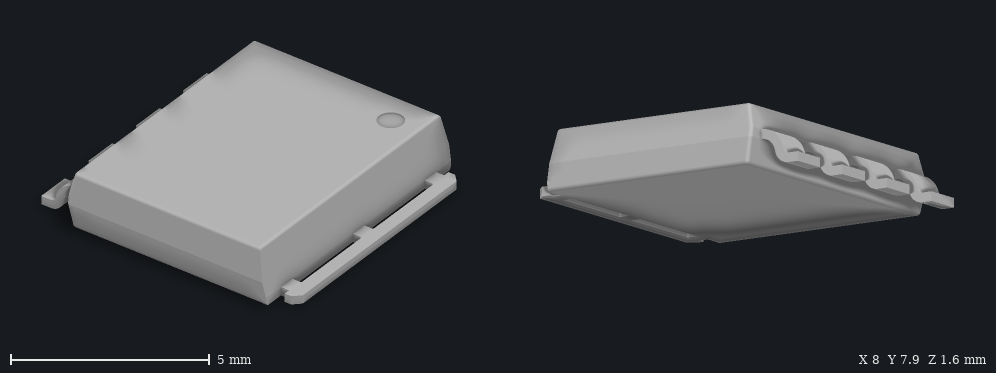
import cadquery as cq
import math

TOTAL_LENGTH = 8.0
BODY_WIDTH = 7.9
BODY_HEIGHT = 1.6
METAL_THICKNESS = 0.25

SEAM_HEIGHT = 0.7
BODY_LEFT = 1.12
BODY_RIGHT = 7.34
LEFT_INSET = 0.14
RIGHT_TOP_INSET = 0.27
SIDE_TOP_INSET = 0.14
SIDE_BOTTOM_INSET = 0.06
EDGE_RADIUS = 0.1

MARK_DIAMETER = 0.73
MARK_DEPTH = 0.05
MARK_X = 6.23
MARK_Y = 2.86

LEAD_COUNT = 4
LEAD_PITCH = 2.0
LEAD_WIDTH = 1.0
FOOT_LENGTH = 0.29
FOOT_BEND_RADIUS = 0.16
LEAD_RUN = BODY_LEFT - FOOT_LENGTH
LEAD_RISE = SEAM_HEIGHT
LEAD_TOP = SEAM_HEIGHT + METAL_THICKNESS

TAB_WIDTH = 6.93
TAB_BAR_LEFT = 7.58
TAB_CORNER_CHAMFER = 0.21
NECK_WIDTH = 0.48
NECK_SPACING = 3.04
SLOT_END = 7.62
SLOT_RADIUS = 0.05


def make_body():
    """Block with leaning sides: its side profile crossed with its end profile."""
    side_profile = (
        cq.Workplane("XZ")
        .polyline([
            (BODY_LEFT + LEFT_INSET, 0),
            (BODY_LEFT, SEAM_HEIGHT),
            (BODY_LEFT, LEAD_TOP),
            (BODY_LEFT + LEFT_INSET, BODY_HEIGHT),
            (BODY_RIGHT - RIGHT_TOP_INSET, BODY_HEIGHT),
            (BODY_RIGHT, METAL_THICKNESS),
            (BODY_RIGHT, 0),
        ])
        .close()
        .extrude(BODY_WIDTH / 2, both=True)
    )
    half_width = BODY_WIDTH / 2
    end_profile = (
        cq.Workplane("YZ")
        .polyline([
            (-half_width + SIDE_BOTTOM_INSET, 0),
            (half_width - SIDE_BOTTOM_INSET, 0),
            (half_width, SEAM_HEIGHT),
            (half_width - SIDE_TOP_INSET, BODY_HEIGHT),
            (-half_width + SIDE_TOP_INSET, BODY_HEIGHT),
            (-half_width, SEAM_HEIGHT),
        ])
        .close()
        .extrude(TOTAL_LENGTH)
    )
    block = side_profile.intersect(end_profile)

    left_zone = cq.selectors.BoxSelector(
        (0, -BODY_WIDTH, 0),
        (BODY_LEFT + LEFT_INSET, BODY_WIDTH, BODY_HEIGHT),
    )
    left_corners = block.edges(left_zone).edges("not #Z").edges("not |Y")
    rims = block.faces(">Z or <Z").edges().edges("not(>X and <Z)")
    block = block.newObject(left_corners.vals() + rims.vals()).fillet(EDGE_RADIUS)

    mark = (
        cq.Workplane("XY", origin=(MARK_X, MARK_Y, BODY_HEIGHT - MARK_DEPTH))
        .circle(MARK_DIAMETER / 2)
        .extrude(MARK_DEPTH)
    )
    return block.cut(mark)


def make_lead(center_y):
    """Gull-wing strip: foot, two opposite tangent bends of equal angle."""
    bend_angle = 2 * math.atan2(LEAD_RISE, LEAD_RUN)
    radius_sum = LEAD_RUN / math.sin(bend_angle)
    foot_outer_radius = FOOT_BEND_RADIUS + METAL_THICKNESS
    shoulder_inner_radius = radius_sum - foot_outer_radius
    shoulder_outer_radius = radius_sum - FOOT_BEND_RADIUS
    foot_center_z = foot_outer_radius
    shoulder_center_z = SEAM_HEIGHT - shoulder_inner_radius

    def on_foot_bend(radius, angle):
        return (FOOT_LENGTH + radius * math.sin(angle), foot_center_z - radius * math.cos(angle))

    def on_shoulder_bend(radius, angle):
        return (BODY_LEFT - radius * math.sin(angle), shoulder_center_z + radius * math.cos(angle))

    half_angle = bend_angle / 2
    return (
        cq.Workplane("XZ", origin=(0, center_y + LEAD_WIDTH / 2, 0))
        .moveTo(0, 0)
        .lineTo(FOOT_LENGTH, 0)
        .threePointArc(
            on_foot_bend(foot_outer_radius, half_angle),
            on_foot_bend(foot_outer_radius, bend_angle),
        )
        .threePointArc(
            on_shoulder_bend(shoulder_inner_radius, half_angle),
            (BODY_LEFT, SEAM_HEIGHT),
        )
        .lineTo(BODY_LEFT, LEAD_TOP)
        .threePointArc(
            on_shoulder_bend(shoulder_outer_radius, half_angle),
            on_shoulder_bend(shoulder_outer_radius, bend_angle),
        )
        .threePointArc(
            on_foot_bend(FOOT_BEND_RADIUS, half_angle),
            (FOOT_LENGTH, METAL_THICKNESS),
        )
        .lineTo(0, METAL_THICKNESS)
        .close()
        .extrude(LEAD_WIDTH)
    )


def tab_plate(left, right, width):
    """Flat plate of metal thickness, centred across the package."""
    return (
        cq.Workplane("XY", origin=(left, 0, 0))
        .box(right - left, width, METAL_THICKNESS, centered=(False, True, False))
    )


def make_tab():
    """Cross bar with chamfered outer corners, joined to the body by three necks."""
    bar = (
        tab_plate(TAB_BAR_LEFT, TOTAL_LENGTH, TAB_WIDTH)
        .edges("|Z and >X")
        .chamfer(TAB_CORNER_CHAMFER)
    )
    neck_plate = tab_plate(BODY_RIGHT, SLOT_END, 2 * NECK_SPACING + NECK_WIDTH)
    slot = (
        tab_plate(BODY_RIGHT, SLOT_END, NECK_SPACING - NECK_WIDTH)
        .edges("|Z and >X")
        .fillet(SLOT_RADIUS)
    )
    tab = bar.union(neck_plate)
    for side in (-1, 1):
        tab = tab.cut(slot.translate((0, side * NECK_SPACING / 2, 0)))
    return tab


body = make_body()
first_lead_y = -(LEAD_COUNT - 1) / 2 * LEAD_PITCH
leads = [make_lead(first_lead_y + i * LEAD_PITCH) for i in range(LEAD_COUNT)]
tab = make_tab()

result = cq.Compound.makeCompound([body.val(), *[lead.val() for lead in leads], tab.val()])